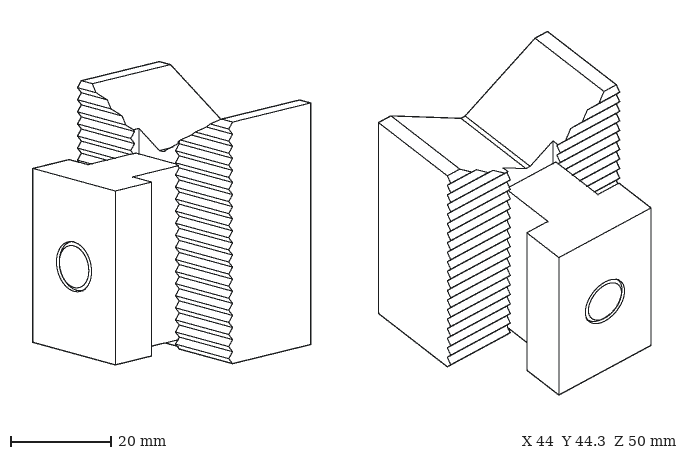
import cadquery as cq
import math


JAW_WIDTH = 44.0
JAW_HEIGHT = 50.0
JAW_DEPTH = 22.55

TOOTH_COUNT = 20
TOOTH_PITCH = JAW_HEIGHT / TOOTH_COUNT
TOOTH_DEPTH = 1.05

VEE_TOP_WIDTH = 37.5
VEE_FLOOR_WIDTH = 1.1
VEE_SLOPE = 30.0
VEE_DEPTH = (VEE_TOP_WIDTH - VEE_FLOOR_WIDTH) / 2 * math.tan(math.radians(VEE_SLOPE))

SLOT_WIDTH = 13.0
SLOT_DEPTH = 2.25

NUT_HEIGHT = 36.0
NUT_BOTTOM = 2.0
HEAD_WIDTH = 24.0
HEAD_THICKNESS = 10.0
STEM_WIDTH = SLOT_WIDTH
STEM_LENGTH = 13.1
STEM_GAP = 0.9
STEM_END_Y = SLOT_DEPTH - STEM_GAP
HEAD_BACK_Y = STEM_END_Y - STEM_LENGTH
HEAD_FRONT_Y = HEAD_BACK_Y - HEAD_THICKNESS

SCREW_DIAMETER = 10.0
SCREW_CHAMFER = 0.7
NUT_HOLE_DIAMETER = 10.2
SCREW_Z = NUT_BOTTOM + NUT_HEIGHT / 2
SCREW_LENGTH = JAW_DEPTH - HEAD_FRONT_Y


def box(width, y_front, y_back, z_bottom, height):
    """Box centred on X = 0."""
    return cq.Workplane("XY").box(
        width, y_back - y_front, height, centered=(True, False, False)
    ).translate((0, y_front, z_bottom))


def axial_cylinder(diameter):
    """Cylinder on the screw axis, from the front of the T-nut to the back of the jaw."""
    return (
        cq.Workplane("XZ", origin=(0, HEAD_FRONT_Y, SCREW_Z))
        .circle(diameter / 2)
        .extrude(-SCREW_LENGTH)
    )


def toothed_block():
    """Jaw block with its toothed side profile extruded across X."""
    profile = [(JAW_DEPTH, 0), (TOOTH_DEPTH, 0)]
    for tooth in range(TOOTH_COUNT):
        root_z = tooth * TOOTH_PITCH
        profile.append((0, root_z + TOOTH_PITCH / 2))
        profile.append((TOOTH_DEPTH, root_z + TOOTH_PITCH))
    profile.append((JAW_DEPTH, JAW_HEIGHT))
    return cq.Workplane("YZ").polyline(profile).close().extrude(JAW_WIDTH / 2, both=True)


def vee_notch():
    """Flat-bottomed V running through the jaw along Y."""
    floor_z = JAW_HEIGHT - VEE_DEPTH
    outline = [
        (-VEE_TOP_WIDTH / 2, JAW_HEIGHT),
        (-VEE_FLOOR_WIDTH / 2, floor_z),
        (VEE_FLOOR_WIDTH / 2, floor_z),
        (VEE_TOP_WIDTH / 2, JAW_HEIGHT),
    ]
    return cq.Workplane("XZ").polyline(outline).close().extrude(-JAW_DEPTH)


def make_jaw():
    slot = box(SLOT_WIDTH, 0, SLOT_DEPTH, 0, JAW_HEIGHT)
    return toothed_block().cut(vee_notch()).cut(slot).cut(axial_cylinder(SCREW_DIAMETER))


def make_nut():
    head = box(HEAD_WIDTH, HEAD_FRONT_Y, HEAD_BACK_Y, NUT_BOTTOM, NUT_HEIGHT)
    stem = box(STEM_WIDTH, HEAD_BACK_Y, STEM_END_Y, NUT_BOTTOM, NUT_HEIGHT)
    return head.union(stem).cut(axial_cylinder(NUT_HOLE_DIAMETER))


def make_screw():
    return axial_cylinder(SCREW_DIAMETER).faces("<Y").chamfer(SCREW_CHAMFER)


jaw = make_jaw()
nut = make_nut()
screw = make_screw()

result = cq.Compound.makeCompound([jaw.val(), nut.val(), screw.val()])